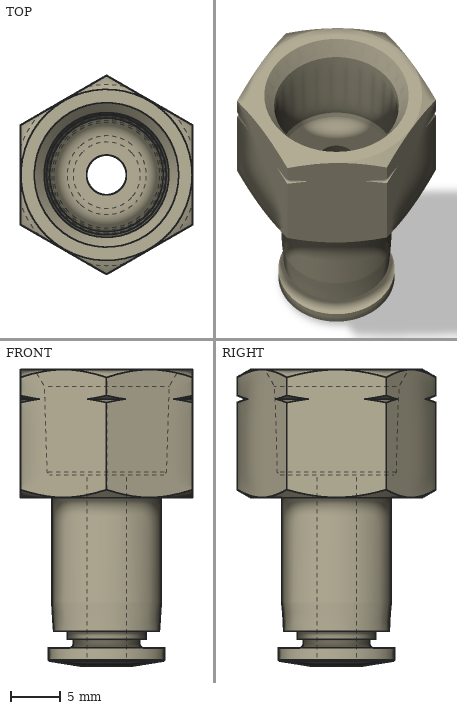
import cadquery as cq
import math

TOTAL_HEIGHT = 30.1
HEX_ACROSS_FLATS = 17.45
HEX_CORNER_RADIUS = HEX_ACROSS_FLATS / math.sqrt(3)
HEX_BOTTOM = 17.1
HEX_CHAMFER_RADIUS = 8.67
HEX_CHAMFER_ANGLE = 30.0

GROOVE_Z = 27.1
GROOVE_TIP_RADIUS = 9.18
GROOVE_HALF_HEIGHT = 0.35

BARREL_RADIUS = 11.1 / 2
NOSE_TOP = 6.5
NOSE_BOTTOM = 3.55
NOSE_END_RADIUS = 5.35

COLLAR_RADIUS = 8.0 / 2
COLLAR_BOTTOM = 2.75
NECK_RADIUS = 6.77 / 2
NECK_FLARE = 0.35
FLANGE_RADIUS = 11.8 / 2
FLANGE_TOP = 1.9
FLANGE_EDGE_BOTTOM = 0.7
FLANGE_EDGE_CHAMFER = 0.15
BASE_RADIUS = 4.75 / 2

MOUTH_RADIUS = 7.3
BORE_TOP_RADIUS = 6.32
BORE_END_RADIUS = 6.05
FLOOR_RADIUS = 5.75
MOUTH_ANGLE = 30.0
BORE_TAPER = 1 / 16
THROUGH_HOLE_DIAMETER = 4.0


def revolve_profile(profile):
    """Revolve a closed (radius, z) sketch about the Z axis."""
    return profile.close().revolve(360, (0, 0, 0), (0, 1, 0))


def make_hexagon():
    rise = (HEX_CORNER_RADIUS - HEX_CHAMFER_RADIUS) * math.tan(math.radians(HEX_CHAMFER_ANGLE))
    prism = (
        cq.Workplane("XY", origin=(0, 0, HEX_BOTTOM))
        .polygon(6, 2 * HEX_CORNER_RADIUS)
        .extrude(TOTAL_HEIGHT - HEX_BOTTOM)
        .rotate((0, 0, 0), (0, 0, 1), 30)
    )
    envelope = revolve_profile(
        cq.Workplane("XZ")
        .moveTo(0, HEX_BOTTOM)
        .lineTo(HEX_CHAMFER_RADIUS, HEX_BOTTOM)
        .lineTo(HEX_CORNER_RADIUS, HEX_BOTTOM + rise)
        .lineTo(HEX_CORNER_RADIUS, GROOVE_Z - GROOVE_HALF_HEIGHT)
        .lineTo(GROOVE_TIP_RADIUS, GROOVE_Z)
        .lineTo(HEX_CORNER_RADIUS, GROOVE_Z + GROOVE_HALF_HEIGHT)
        .lineTo(HEX_CORNER_RADIUS, TOTAL_HEIGHT - rise)
        .lineTo(HEX_CHAMFER_RADIUS, TOTAL_HEIGHT)
        .lineTo(0, TOTAL_HEIGHT)
    )
    return prism.intersect(envelope)


def make_stem():
    """Barrel, nose and release collar, reaching up to the hexagon."""
    bevel_radius = FLANGE_RADIUS - FLANGE_EDGE_CHAMFER
    flare_mid = NECK_FLARE * (1 - math.sqrt(0.5))
    return revolve_profile(
        cq.Workplane("XZ")
        .moveTo(0, 0)
        .lineTo(BASE_RADIUS, 0)
        .lineTo(bevel_radius, FLANGE_EDGE_BOTTOM - FLANGE_EDGE_CHAMFER)
        .lineTo(FLANGE_RADIUS, FLANGE_EDGE_BOTTOM)
        .lineTo(FLANGE_RADIUS, FLANGE_TOP)
        .lineTo(NECK_RADIUS + NECK_FLARE, FLANGE_TOP)
        .threePointArc(
            (NECK_RADIUS + flare_mid, FLANGE_TOP + flare_mid),
            (NECK_RADIUS, FLANGE_TOP + NECK_FLARE),
        )
        .lineTo(NECK_RADIUS, COLLAR_BOTTOM)
        .lineTo(COLLAR_RADIUS, COLLAR_BOTTOM)
        .lineTo(COLLAR_RADIUS, NOSE_BOTTOM)
        .lineTo(NOSE_END_RADIUS, NOSE_BOTTOM)
        .lineTo(BARREL_RADIUS, NOSE_TOP)
        .lineTo(BARREL_RADIUS, HEX_BOTTOM)
        .lineTo(0, HEX_BOTTOM)
    )


def make_bore():
    """Conical mouth, tapered bore and a 45 degree transition to a flat floor."""
    bore_top = TOTAL_HEIGHT - (MOUTH_RADIUS - BORE_TOP_RADIUS) / math.tan(math.radians(MOUTH_ANGLE))
    bore_end = bore_top - 2 * (BORE_TOP_RADIUS - BORE_END_RADIUS) / BORE_TAPER
    floor = bore_end - (BORE_END_RADIUS - FLOOR_RADIUS)
    return revolve_profile(
        cq.Workplane("XZ")
        .moveTo(0, floor)
        .lineTo(FLOOR_RADIUS, floor)
        .lineTo(BORE_END_RADIUS, bore_end)
        .lineTo(BORE_TOP_RADIUS, bore_top)
        .lineTo(MOUTH_RADIUS, TOTAL_HEIGHT)
        .lineTo(0, TOTAL_HEIGHT)
    )


through_hole = cq.Workplane("XY").circle(THROUGH_HOLE_DIAMETER / 2).extrude(TOTAL_HEIGHT)
result = make_hexagon().union(make_stem()).cut(make_bore()).cut(through_hole)